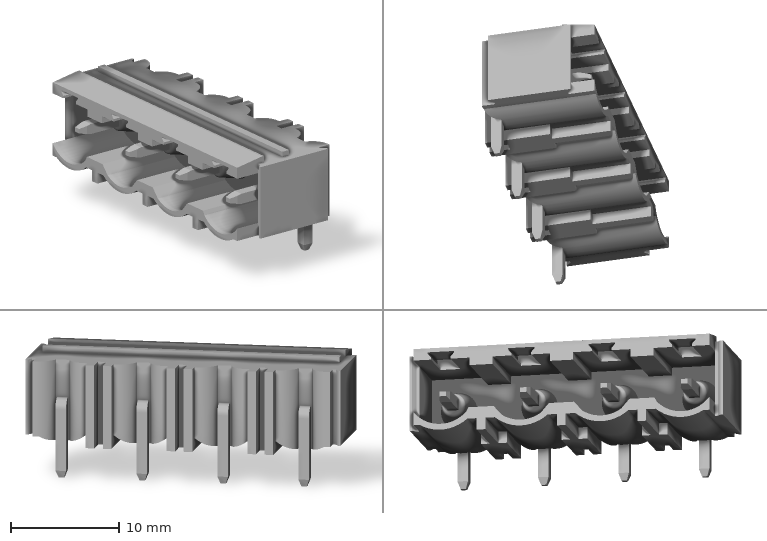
import cadquery as cq
import math


pole_count = 4
pitch = 7.62
pole_xs = [(i - (pole_count - 1) / 2) * pitch for i in range(pole_count)]
gap_xs = [(i - (pole_count - 2) / 2) * pitch for i in range(pole_count - 1)]

inner_half_length = 14.0
overall_length = 29.66
outer_half_length = overall_length / 2
depth = 11.75
roof_z = 7.80
side_bottom_z = 0.73
scallop_back_y = 10.75
back_wall_y = 9.41

plate_front_y = 2.08
plate_back_y = 9.95
plate_rim_x = 14.62
plate_root_x = 14.29
plate_root_front_y = 2.45
plate_root_back_y = 9.48

scallop_flat_half = 0.63
scallop_radius = 1.86
scallop_drop = scallop_back_y - back_wall_y

belly_z = 0.18
belly_radius = 3.89
web_bottom_z = 1.09
trough_z = 0.73
trough_radius = 3.30
bridge_z = 2.17
bridge_edge = 2.62
end_pole_arc_half = 2.40
middle_pole_arc_half = 1.85

ceiling_z = 6.89
cavity_back_y = 7.90
tab_width = 2.17
tab_bottom_z = 6.18

slot_top_z = 7.60
slot_shoulder_z = 7.46
slot_neck_z = 7.12
slot_half = 1.24
slot_neck_half = 0.94
slot_back_y = 4.13

lip_back_y = 3.10
lip_crest_y = 2.88
lip_top_z = 8.43
lip_front_z = 7.98
rib_front_y = 5.27
rib_back_y = 6.03
rib_top_z = 8.34

foot_width = 2.43
foot_front_y = 5.57
foot_slot_width = 0.81
foot_slot_front_y = 9.77

collar_base_radius = 1.72
collar_tip_radius = 1.06
collar_front_y = 5.40
collar_rim_fillet = 0.25

pin_width = 1.0
pin_z = 3.80
pin_back_y = 10.39
overall_height = 11.60
pin_bottom_z = lip_top_z - overall_height
pin_front_y = 0.88
mating_tip_width = 0.60
mating_tip_height = 0.44
mating_taper_x_y = 1.64
mating_taper_z_y = 2.07
solder_tip_width = 0.50
solder_taper_height = 0.68


def arc_height(lowest_z, radius, offset):
    """Height of an upward-opening arc at a sideways offset from its lowest point."""
    return lowest_z + radius - math.sqrt(radius**2 - offset**2)


def arc_offset(lowest_z, radius, z):
    """Sideways offset at which an upward-opening arc reaches the height z."""
    return math.sqrt(radius**2 - (lowest_z + radius - z) ** 2)


def box(x_min, x_max, y_min, y_max, z_min, z_max):
    size = (x_max - x_min, y_max - y_min, z_max - z_min)
    return cq.Workplane("XY").box(*size, centered=False).translate((x_min, y_min, z_min))


def extrude_back(front_outline, y_start, y_end):
    """Extrude an XZ outline from y_start to y_end."""
    return front_outline.close().extrude(y_start - y_end).translate((0, y_start, 0))


def extrude_up(plan_outline, z_start, z_end):
    """Extrude an XY outline from z_start to z_end."""
    return plan_outline.close().extrude(z_end - z_start).translate((0, 0, z_start))


def extrude_along_row(side_outline, half_length):
    """Extrude a YZ outline equally to both sides of its plane."""
    return side_outline.close().extrude(half_length, both=True)


def plan_prism():
    """Housing seen from above: dovetail side plates and a scalloped back."""
    inner = inner_half_length
    rim = plate_rim_x
    root = plate_root_x
    plan = (
        cq.Workplane("XY")
        .moveTo(-inner, 0)
        .lineTo(inner, 0)
        .lineTo(inner, plate_root_front_y)
        .lineTo(root, plate_root_front_y)
        .lineTo(rim, plate_front_y)
        .lineTo(outer_half_length, plate_front_y)
        .lineTo(outer_half_length, plate_back_y)
        .lineTo(rim, plate_back_y)
        .lineTo(root, plate_root_back_y)
        .lineTo(inner, plate_root_back_y)
        .lineTo(inner, scallop_back_y)
    )
    sweep_width = math.sqrt(scallop_radius**2 - (scallop_radius - scallop_drop) ** 2)
    crest_offset = scallop_flat_half + sweep_width
    half_sweep = math.acos(1 - scallop_drop / scallop_radius) / 2
    mid_offset = crest_offset - scallop_radius * math.sin(half_sweep)
    mid_y = scallop_back_y - scallop_radius * (1 - math.cos(half_sweep))
    for x in reversed(pole_xs):
        plan = (
            plan.lineTo(x + crest_offset, scallop_back_y)
            .threePointArc((x + mid_offset, mid_y), (x + scallop_flat_half, back_wall_y))
            .lineTo(x - scallop_flat_half, back_wall_y)
            .threePointArc((x - mid_offset, mid_y), (x - crest_offset, scallop_back_y))
        )
    plan = (
        plan.lineTo(-inner, scallop_back_y)
        .lineTo(-inner, plate_root_back_y)
        .lineTo(-root, plate_root_back_y)
        .lineTo(-rim, plate_back_y)
        .lineTo(-outer_half_length, plate_back_y)
        .lineTo(-outer_half_length, plate_front_y)
        .lineTo(-rim, plate_front_y)
        .lineTo(-root, plate_root_front_y)
        .lineTo(-inner, plate_root_front_y)
    )
    return plan.close().extrude(roof_z)


def belly_prism():
    """Housing seen from the front: flat roof, rounded belly below each pole."""
    end_offset = arc_offset(belly_z, belly_radius, side_bottom_z)
    web_offset = arc_offset(belly_z, belly_radius, web_bottom_z)
    outline = (
        cq.Workplane("XZ")
        .moveTo(outer_half_length, roof_z)
        .lineTo(-outer_half_length, roof_z)
        .lineTo(-outer_half_length, side_bottom_z)
    )
    for x in pole_xs:
        is_first = x == pole_xs[0]
        is_last = x == pole_xs[-1]
        start = (x - end_offset, side_bottom_z) if is_first else (x - web_offset, web_bottom_z)
        end = (x + end_offset, side_bottom_z) if is_last else (x + web_offset, web_bottom_z)
        outline = outline.lineTo(*start).threePointArc((x, belly_z), end)
    outline = outline.lineTo(outer_half_length, side_bottom_z)
    return extrude_back(outline, 0, depth)


def cavity():
    """Mating opening, with a trough below each pole and key tabs left on the ceiling."""
    inner = inner_half_length
    wall_offset = inner - pole_xs[-1]
    outline = (
        cq.Workplane("XZ")
        .moveTo(inner, ceiling_z)
        .lineTo(-inner, ceiling_z)
        .lineTo(-inner, arc_height(trough_z, trough_radius, wall_offset))
    )
    for x in pole_xs:
        is_first = x == pole_xs[0]
        is_last = x == pole_xs[-1]
        arc_half = end_pole_arc_half if is_first or is_last else middle_pole_arc_half
        left = wall_offset if is_first else arc_half
        right = wall_offset if is_last else arc_half
        left_end = (x - left, arc_height(trough_z, trough_radius, left))
        right_end = (x + right, arc_height(trough_z, trough_radius, right))
        if not is_first:
            outline = outline.lineTo(x - bridge_edge, bridge_z).lineTo(*left_end)
        outline = outline.threePointArc((x, trough_z), right_end)
        if not is_last:
            outline = outline.lineTo(x + bridge_edge, bridge_z)
    opening = extrude_back(outline, 0, cavity_back_y)
    for x in gap_xs:
        tab = box(x - tab_width / 2, x + tab_width / 2, 0, cavity_back_y, tab_bottom_z, ceiling_z)
        opening = opening.cut(tab)
    return opening


def coding_slot(x):
    """Dovetail slot in the ceiling, open to the top behind the lip."""
    outline = (
        cq.Workplane("XZ")
        .moveTo(x - slot_half, slot_top_z)
        .lineTo(x + slot_half, slot_top_z)
        .lineTo(x + slot_half, slot_shoulder_z)
        .lineTo(x + slot_neck_half, slot_neck_z)
        .lineTo(x + slot_neck_half, ceiling_z)
        .lineTo(x - slot_neck_half, ceiling_z)
        .lineTo(x - slot_neck_half, slot_neck_z)
        .lineTo(x - slot_half, slot_shoulder_z)
    )
    slot = extrude_back(outline, 0, slot_back_y)
    window = box(x - slot_half, x + slot_half, lip_back_y, slot_back_y, slot_shoulder_z, roof_z)
    return slot.union(window)


def lip():
    """Latching lip along the front of the roof, sloping down to the mating face."""
    outline = (
        cq.Workplane("YZ")
        .moveTo(0, ceiling_z)
        .lineTo(lip_back_y, ceiling_z)
        .lineTo(lip_back_y, lip_top_z)
        .lineTo(lip_crest_y, lip_top_z)
        .lineTo(0, lip_front_z)
    )
    return extrude_along_row(outline, inner_half_length)


def roof_rib():
    return box(-inner_half_length, inner_half_length, rib_front_y, rib_back_y, roof_z, rib_top_z)


def foot(x):
    """Wide block below the back of the floor, a narrow rib forward and an upright fin behind."""
    half = foot_width / 2
    half_slot = foot_slot_width / 2
    block = box(x - half, x + half, foot_front_y, depth, 0, web_bottom_z)
    fin = box(x - half, x + half, back_wall_y, depth, 0, roof_z)
    front_rib = box(x - half_slot, x + half_slot, 0, foot_front_y, 0, web_bottom_z)
    return block.union(fin).union(front_rib)


def foot_slot(x):
    """Upright slot that splits the fin in two."""
    half_slot = foot_slot_width / 2
    return box(x - half_slot, x + half_slot, foot_slot_front_y, depth, 0, roof_z)


def collar(x):
    """Conical collar on the back wall of the cavity, rounded at its rim."""
    height = cavity_back_y - collar_front_y
    taper = math.degrees(math.atan((collar_base_radius - collar_tip_radius) / height))
    cone = (
        cq.Workplane("XZ", origin=(x, cavity_back_y, pin_z))
        .circle(collar_base_radius)
        .extrude(height, taper=taper)
    )
    return cone.faces("<Y").edges().fillet(collar_rim_fillet)


def pin(x):
    """Square pin bent down behind the housing, tapered at both ends."""
    half = pin_width / 2
    leg_y = pin_back_y - half
    top_z = pin_z + half
    bend_mid = pin_width * math.sqrt(0.5)
    side_outline = (
        cq.Workplane("YZ", origin=(x, 0, 0))
        .moveTo(pin_front_y, pin_z - mating_tip_height / 2)
        .lineTo(pin_front_y, pin_z + mating_tip_height / 2)
        .lineTo(mating_taper_z_y, top_z)
        .lineTo(pin_back_y - pin_width, top_z)
        .threePointArc(
            (pin_back_y - pin_width + bend_mid, top_z - pin_width + bend_mid),
            (pin_back_y, top_z - pin_width),
        )
        .lineTo(pin_back_y, pin_bottom_z + solder_taper_height)
        .lineTo(leg_y + solder_tip_width / 2, pin_bottom_z)
        .lineTo(leg_y - solder_tip_width / 2, pin_bottom_z)
        .lineTo(pin_back_y - pin_width, pin_bottom_z + solder_taper_height)
        .lineTo(pin_back_y - pin_width, pin_z - half)
        .lineTo(mating_taper_z_y, pin_z - half)
    )
    blank = extrude_along_row(side_outline, half)
    mating_part = extrude_up(
        cq.Workplane("XY")
        .moveTo(x - half, pin_back_y)
        .lineTo(x - half, mating_taper_x_y)
        .lineTo(x - mating_tip_width / 2, pin_front_y)
        .lineTo(x + mating_tip_width / 2, pin_front_y)
        .lineTo(x + half, mating_taper_x_y)
        .lineTo(x + half, pin_back_y),
        pin_bottom_z,
        top_z,
    )
    solder_part = extrude_back(
        cq.Workplane("XZ")
        .moveTo(x - half, top_z)
        .lineTo(x - half, pin_bottom_z + solder_taper_height)
        .lineTo(x - solder_tip_width / 2, pin_bottom_z)
        .lineTo(x + solder_tip_width / 2, pin_bottom_z)
        .lineTo(x + half, pin_bottom_z + solder_taper_height)
        .lineTo(x + half, top_z),
        0,
        pin_back_y,
    )
    return blank.intersect(mating_part).intersect(solder_part).solids()


def make_housing(pins):
    body = plan_prism().intersect(belly_prism())
    body = body.union(lip()).union(roof_rib())
    for x in gap_xs:
        body = body.union(foot(x)).cut(foot_slot(x))
    body = body.cut(cavity())
    for x in pole_xs:
        body = body.cut(coding_slot(x)).union(collar(x))
    for contact in pins:
        body = body.cut(contact)
    return body


pins = [pin(x) for x in pole_xs]
housing = make_housing(pins)

result = cq.Compound.makeCompound([housing.solids().val(), *[contact.val() for contact in pins]])